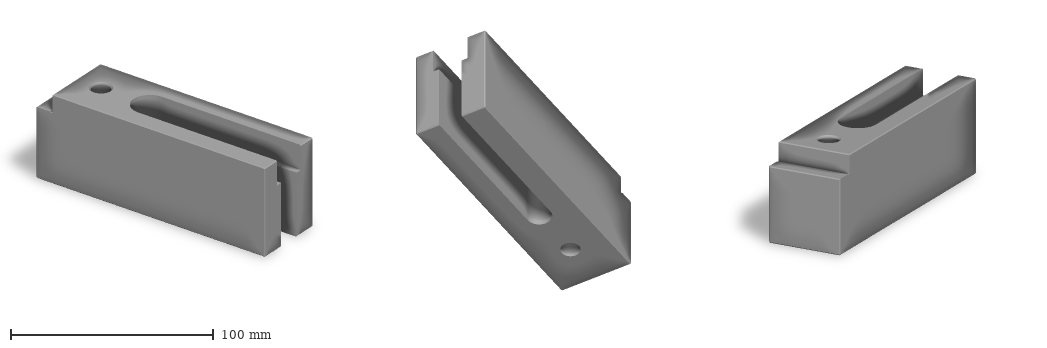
import cadquery as cq

length = 140.0
width = 40.0
height = 50.0
edge_chamfer = 0.5

step_length = 10.0
step_drop = 10.0
relief_width = 1.4
relief_depth = 0.5

hole_x = 25.0
hole_diameter = 10.2
hole_mouth_diameter = 12.2

slot_center_x = 55.0
slot_width = 13.0
upper_slot_width = 20.0
upper_slot_depth = 14.0


def stepped_block():
    """Block with a step at its -X end and chamfered outer edges."""
    step_z = height - step_drop
    body = (
        cq.Workplane("XZ")
        .moveTo(0, 0)
        .lineTo(length, 0)
        .lineTo(length, height)
        .lineTo(step_length, height)
        .lineTo(step_length, step_z)
        .lineTo(0, step_z)
        .close()
        .extrude(width / 2, both=True)
    )
    body = body.faces("<X or >X or >Z or <Z").edges().chamfer(edge_chamfer)
    relief = cq.Workplane("XY").box(
        relief_width, width, relief_depth, centered=(False, True, False)
    )
    return body.cut(relief.translate((step_length - relief_width, 0, step_z - relief_depth)))


def open_slot(slot_size, floor_z):
    """Cutter for a slot with a round -X end, from floor_z up through the top."""
    depth = height - floor_z
    round_end = cq.Workplane("XY").circle(slot_size / 2).extrude(depth)
    straight_run = cq.Workplane("XY").box(
        length - slot_center_x, slot_size, depth, centered=(False, True, False)
    )
    return round_end.union(straight_run).translate((slot_center_x, 0, floor_z))


def chamfered_hole():
    """Cutter for the through hole and its 45 degree mouth."""
    radius = hole_diameter / 2
    mouth_radius = hole_mouth_diameter / 2
    mouth_z = height - (mouth_radius - radius)
    return (
        cq.Workplane("XZ")
        .moveTo(0, 0)
        .lineTo(radius, 0)
        .lineTo(radius, mouth_z)
        .lineTo(mouth_radius, height)
        .lineTo(0, height)
        .close()
        .revolve(360, (0, 0), (0, 1))
        .translate((hole_x, 0, 0))
    )


result = (
    stepped_block()
    .cut(open_slot(slot_width, 0))
    .cut(open_slot(upper_slot_width, height - upper_slot_depth))
    .cut(chamfered_hole())
)